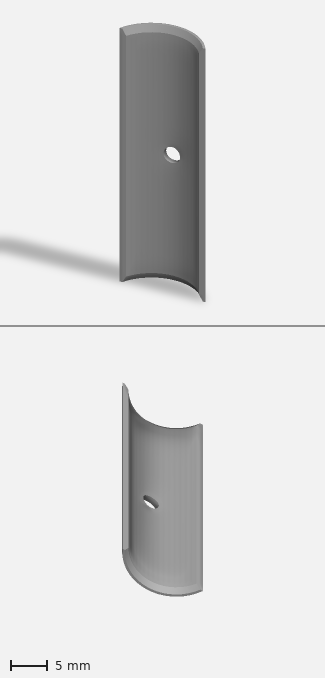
import cadquery as cq
import math

length = 40.0
width = 13.0
edge_y = 3.5
land_width = 1.0
end_chamfer_length = 1.0
end_chamfer_depth = 0.5
hole_diameter = 2.5

outer_half = width / 2
inner_half = outer_half - land_width
outer_radius = math.hypot(outer_half, edge_y)
inner_radius = math.hypot(inner_half, edge_y)
rise = outer_radius - edge_y


def make_shell():
    """Segment of a tube, cut off flat along its two long edges."""
    return (
        cq.Workplane("XY")
        .workplane(offset=-length / 2)
        .moveTo(-outer_half, edge_y)
        .threePointArc((0, outer_radius), (outer_half, edge_y))
        .lineTo(inner_half, edge_y)
        .threePointArc((0, inner_radius), (-inner_half, edge_y))
        .close()
        .extrude(length)
    )


def end_chamfer_cutter(end):
    """Cone that bevels the inner rim; end is +1 for the top and -1 for the bottom."""
    end_z = end * length / 2
    chamfer_start_z = end_z - end * end_chamfer_length
    return (
        cq.Workplane("XZ")
        .moveTo(0, end_z)
        .lineTo(inner_radius + end_chamfer_depth, end_z)
        .lineTo(inner_radius, chamfer_start_z)
        .lineTo(0, chamfer_start_z)
        .close()
        .revolve(360, (0, 0), (0, 1))
    )


def crown_hole():
    """Round hole through the crown, along Y at mid length."""
    return cq.Workplane("XZ").circle(hole_diameter / 2).extrude(-2 * outer_radius)


shell = make_shell().cut(crown_hole())
for end in (1, -1):
    shell = shell.cut(end_chamfer_cutter(end))

result = shell.translate((0, -(edge_y + rise / 2), 0))